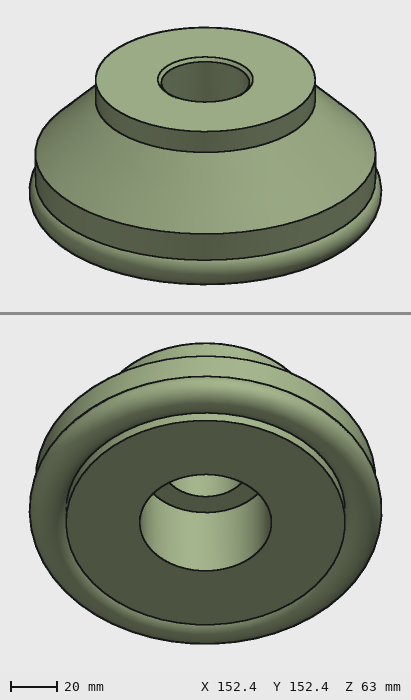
import cadquery as cq
import math

outer_radius = 76.2
total_height = 63.0

ring_section_radius = 8.0
ring_center_radius = outer_radius - ring_section_radius
ring_center_height = ring_section_radius

skirt_radius = 73.6
skirt_top = 26.7
neck_radius = 47.5
neck_height = 10.2
neck_bottom = total_height - neck_height

bore_radius = 19.0
mouth_chamfer = 1.5
counterbore_radius = 28.5
bore_bottom = 37.0


def make_ring():
    """Full torus that rests on the plane Z = 0."""
    return (
        cq.Workplane("XZ")
        .center(ring_center_radius, ring_center_height)
        .circle(ring_section_radius)
        .revolve(360, (-ring_center_radius, 0, 0), (-ring_center_radius, 1, 0))
    )


def make_housing():
    """Conical housing with a stepped bore and a rounded seat for the ring."""
    seat_inner_radius = ring_center_radius - ring_section_radius
    ring_crest = ring_center_height + ring_section_radius
    skirt_offset = skirt_radius - ring_center_radius
    skirt_bottom = ring_center_height + math.sqrt(ring_section_radius**2 - skirt_offset**2)
    return (
        cq.Workplane("XZ")
        .moveTo(counterbore_radius, 0)
        .lineTo(seat_inner_radius, 0)
        .lineTo(seat_inner_radius, ring_center_height)
        .threePointArc((ring_center_radius, ring_crest), (skirt_radius, skirt_bottom))
        .lineTo(skirt_radius, skirt_top)
        .lineTo(neck_radius, neck_bottom)
        .lineTo(neck_radius, total_height)
        .lineTo(bore_radius + mouth_chamfer, total_height)
        .lineTo(bore_radius, total_height - mouth_chamfer)
        .lineTo(bore_radius, bore_bottom)
        .lineTo(counterbore_radius, bore_bottom)
        .close()
        .revolve(360, (0, 0, 0), (0, 1, 0))
    )


ring = make_ring()
housing = make_housing()

result = cq.Compound.makeCompound([ring.val(), housing.val()])